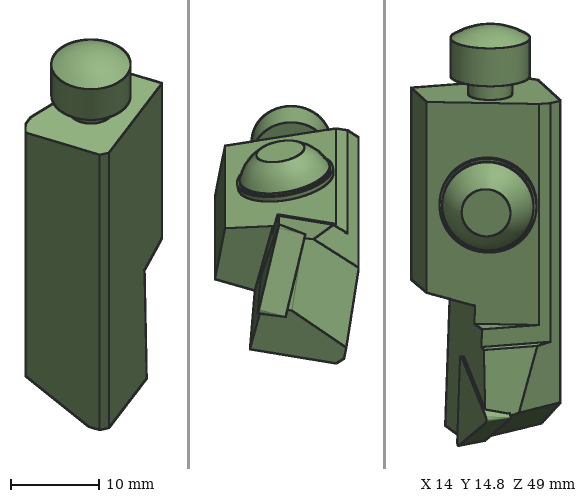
import cadquery as cq
import math


overall_height = 48.95
insert_drop = 1.0
neck_length = 2.15
head_length = 4.45
crown_height = 1.35

body_height = overall_height - insert_drop - neck_length - head_length - crown_height
body_depth = 14.75
front_left_x = -9.9
edge_break_x = 0.25
edge_break_y = 0.05
corner_chamfer = 0.8
flank_angle = 25
side_x = -10.75
clamp_face_start_y = 2.75
clamp_face_angle = 20

nose_angle = 9
nose_ledge_x = -11.6
nose_ledge_z = 11.85
clamp_face_bottom_z = 14.05

chip_slope_x = 0.07
chip_slope_z = -0.035
chip_y = 10.7
runout_height = 16.15
runout_angle = 14

lead_angle = 30
relief_angle = 14
seat_wall_y = 6.9
relief_start_x = -2.15

screw_x = -5.2
screw_y = 6.9
neck_diameter = 5.0
head_diameter = 9.0

clamp_y = 8.2
clamp_depth = 11.9
clamp_z = body_height - clamp_depth
collar_diameter = 11.0
collar_height = 0.6
step_diameter = 10.4
dome_diameter = 11.0
dome_start_height = 0.9
dome_flat_diameter = 5.55
dome_flat_height = 3.6

circumscribed_radius = 6.35
insert_thickness = 3.2
insert_clearance = 7
insert_corner_radius = 0.4
insert_tip_x = -13.95
insert_stand_out = 0.3

big = 58.75


def chip_face_y(x, z):
    return chip_y + chip_slope_x * x + chip_slope_z * z


def chip_plane(x, z):
    """Plane in the chip face: local X points to the tip, local Y up, normal out of the face."""
    return cq.Plane(
        origin=(x, chip_face_y(x, z), z),
        xDir=(-1, -chip_slope_x, 0),
        normal=(-chip_slope_x, 1, -chip_slope_z),
    )


def flank_x(y):
    start_x = front_left_x - edge_break_x
    return start_x - (y - edge_break_y) * math.tan(math.radians(flank_angle))


def bar():
    """Full-length bar with the slanted flank on its left side."""
    return (
        cq.Workplane("XY")
        .polyline([
            (front_left_x, 0),
            (-corner_chamfer, 0),
            (0, corner_chamfer),
            (0, body_depth),
            (flank_x(body_depth), body_depth),
            (flank_x(edge_break_y), edge_break_y),
        ])
        .close()
        .extrude(body_height)
    )


def clamp_face_x(y):
    return side_x + (y - clamp_face_start_y) * math.tan(math.radians(clamp_face_angle))


def side_face_cut():
    """Upright face above the nose, with its ledge square to the nose flank."""
    slope = math.tan(math.radians(nose_angle))
    ledge_inner_z = nose_ledge_z + (side_x - nose_ledge_x) * slope
    nose_foot_x = nose_ledge_x - nose_ledge_z * slope
    return (
        cq.Workplane("XZ")
        .polyline([
            (side_x, body_height),
            (side_x, ledge_inner_z),
            (nose_ledge_x, nose_ledge_z),
            (nose_foot_x, 0),
            (-big, 0),
            (-big, body_height),
        ])
        .close()
        .extrude(-big)
    )


def clamp_face_cut():
    """Angled face that carries the clamp screw, ending in a level ledge."""
    return (
        cq.Workplane("XY", origin=(0, 0, clamp_face_bottom_z))
        .polyline([
            (side_x, clamp_face_start_y),
            (clamp_face_x(body_depth), body_depth),
            (-big, body_depth),
            (-big, clamp_face_start_y),
        ])
        .close()
        .extrude(big)
    )


def chip_face_cut():
    """Space behind the chip face, closed at the top by the sloping run-out."""
    runout_rise = big * math.tan(math.radians(runout_angle))
    side_plane = cq.Plane(
        origin=(0, chip_y, 0),
        xDir=chip_plane(0, 0).yDir,
        normal=chip_plane(0, 0).xDir,
    )
    return (
        cq.Workplane(side_plane)
        .polyline([
            (-big, 0),
            (runout_height, 0),
            (runout_height + runout_rise, big),
            (-big, big),
        ])
        .close()
        .extrude(big, both=True)
    )


def relief_cut():
    """Space under the lead edge: a relief face, then a wall straight along Y at the insert seat."""
    wall_depth = seat_wall_y * math.tan(math.radians(relief_angle))
    lead = math.radians(lead_angle)
    plane = cq.Plane(
        origin=(relief_start_x, 0, 0),
        xDir=(0, 1, 0),
        normal=(-math.cos(lead), 0, math.sin(lead)),
    )
    return (
        cq.Workplane(plane)
        .polyline([
            (0, 0),
            (seat_wall_y, wall_depth),
            (big, wall_depth),
            (big, big),
            (0, big),
        ])
        .close()
        .extrude(big, both=True)
    )


def insert_plane():
    """Chip-face plane under the middle of the insert, placed so its low corner ends at insert_drop."""
    center_x = insert_tip_x + circumscribed_radius - insert_corner_radius
    corner_center = circumscribed_radius - 2 * insert_corner_radius
    corner_depth = corner_center * math.sin(math.radians(60)) + insert_corner_radius
    face = chip_plane(0, 0)
    center_z = corner_depth * face.yDir.z - insert_stand_out * face.zDir.z - insert_drop
    return chip_plane(center_x, center_z)


def make_insert():
    """Triangle with its tip toward -X; sides and rounded corners draw in toward the seat."""
    outline = (
        cq.Sketch()
        .regularPolygon(circumscribed_radius, 3, angle=-90)
        .vertices()
        .fillet(insert_corner_radius)
    )
    return (
        cq.Workplane(insert_plane())
        .workplane(offset=insert_stand_out)
        .placeSketch(outline)
        .extrude(-insert_thickness, taper=insert_clearance)
    )


def adjusting_screw():
    """Neck and crowned head on top of the bar."""
    shoulder_z = neck_length + head_length
    head_radius = head_diameter / 2
    crown_radius = (head_radius ** 2 + crown_height ** 2) / (2 * crown_height)
    return (
        cq.Workplane("XZ", origin=(screw_x, screw_y, body_height))
        .moveTo(0, 0)
        .lineTo(neck_diameter / 2, 0)
        .lineTo(neck_diameter / 2, neck_length)
        .lineTo(head_radius, neck_length)
        .lineTo(head_radius, shoulder_z)
        .radiusArc((0, shoulder_z + crown_height), -crown_radius)
        .close()
        .revolve(360, (0, 0, 0), (0, 1, 0))
    )


def clamp_screw_head():
    """Collar, small step and flattened dome, standing square on the clamping face."""
    tilt = math.radians(clamp_face_angle)
    axis = cq.Vector(-math.cos(tilt), math.sin(tilt), 0)
    step_radius = step_diameter / 2
    plane = cq.Plane(
        origin=(clamp_face_x(clamp_y), clamp_y, clamp_z),
        xDir=(0, 0, 1),
        normal=cq.Vector(0, 0, 1).cross(axis),
    )
    return (
        cq.Workplane(plane)
        .moveTo(0, 0)
        .lineTo(collar_diameter / 2, 0)
        .lineTo(collar_diameter / 2, collar_height)
        .lineTo(step_radius, collar_height)
        .lineTo(step_radius, dome_start_height)
        .radiusArc((dome_flat_diameter / 2, dome_flat_height), -dome_diameter / 2)
        .lineTo(0, dome_flat_height)
        .close()
        .revolve(360, (0, 0, 0), (0, 1, 0))
    )


def make_holder(insert):
    """Trimmed bar with a pocket that fits the insert, and both screw heads."""
    cuts = [side_face_cut(), clamp_face_cut(), chip_face_cut(), relief_cut(), insert]
    holder = bar()
    for cut in cuts:
        holder = holder.cut(cut)
    return holder.union(adjusting_screw()).union(clamp_screw_head())


insert = make_insert()
holder = make_holder(insert)

result = cq.Compound.makeCompound([holder.solids().val(), insert.solids().val()])